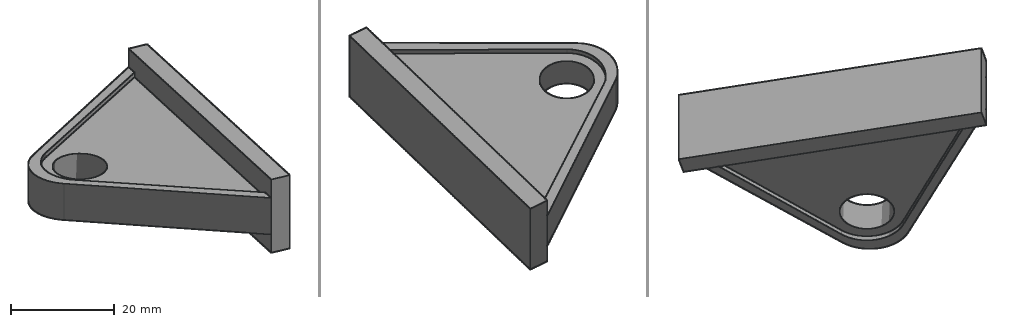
import cadquery as cq
import math

plate_length = 60
plate_thickness = 4.0
plate_height = 16.0

total_depth = 40.2
web_thickness = 8.0
nose_radius = 8.0
hole_diameter = 10.5
hole_distance = 30

recess_half_width = 27.5
recess_nose_distance = 37.5
recess_radius = 7.5
recess_depth = 1.0


def rounded_triangle(half_width, nose_distance, radius, thickness):
    """Triangle on the plate's front face with its sides tangent to a nose arc."""
    base_y = -plate_thickness
    center_y = radius - nose_distance
    drop = base_y - center_y
    reach = math.hypot(half_width, drop)
    normal_angle = math.acos(radius / reach) - math.atan2(drop, half_width)
    tangent_x = radius * math.cos(normal_angle)
    tangent_y = center_y - radius * math.sin(normal_angle)
    return (
        cq.Workplane("XY")
        .moveTo(-half_width, base_y)
        .lineTo(half_width, base_y)
        .lineTo(tangent_x, tangent_y)
        .threePointArc((0, -nose_distance), (-tangent_x, tangent_y))
        .close()
        .extrude(thickness)
    )


plate = cq.Workplane("XY").box(
    plate_length, plate_thickness, plate_height, centered=(True, False, True)
).translate((0, -plate_thickness, 0))

web = rounded_triangle(plate_length / 2, total_depth, nose_radius, web_thickness)
web = web.translate((0, 0, -web_thickness / 2))

recess = rounded_triangle(recess_half_width, recess_nose_distance, recess_radius, recess_depth)
recess = recess.translate((0, 0, web_thickness / 2 - recess_depth))

hole = (
    cq.Workplane("XY")
    .center(0, -hole_distance)
    .circle(hole_diameter / 2)
    .extrude(web_thickness, both=True)
)

result = plate.union(web).cut(recess).cut(recess.mirror("XY")).cut(hole)